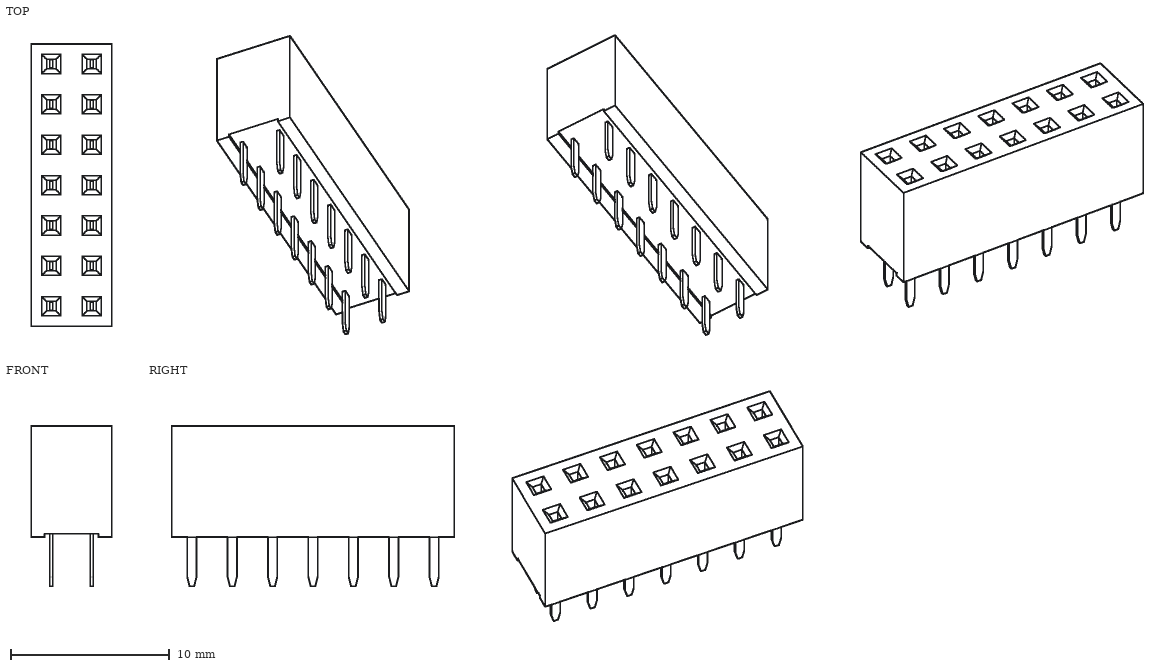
import cadquery as cq

pitch = 2.54
columns = 2
rows = 7

housing_x = columns * pitch
housing_y = rows * pitch
housing_height = 7.0

channel_width = housing_x * 2 / 3
channel_depth = 0.2

lead_in_opening = 1.2
well_size = 0.6
lead_in_depth = (lead_in_opening - well_size) / 2
socket_depth = 3.0

pin_thickness = 0.2
pin_width = 0.6
pin_reach = 3.1
tip_width = 0.3
tip_length = 0.6
well_end_gap = 0.05
pin_top_rise = 0.5

well_floor_z = housing_height - socket_depth
contact_points = [
    ((column - (columns - 1) / 2) * pitch, (row - (rows - 1) / 2) * pitch)
    for column in range(columns)
    for row in range(rows)
]


def make_housing():
    """Rectangular block with a shallow channel running the full length underneath."""
    block = cq.Workplane("XY").box(housing_x, housing_y, housing_height, centered=(True, True, False))
    channel = cq.Workplane("XY").box(channel_width, housing_y, channel_depth, centered=(True, True, False))
    return block.cut(channel)


def make_socket(x, y):
    """Volume removed for one socket: square well plus pyramidal lead-in."""
    well = (
        cq.Workplane("XY", origin=(x, y, well_floor_z))
        .rect(well_size, well_size)
        .extrude(socket_depth)
    )
    lead_in = (
        cq.Workplane("XY", origin=(x, y, housing_height - lead_in_depth))
        .rect(well_size, well_size)
        .workplane(offset=lead_in_depth)
        .rect(lead_in_opening, lead_in_opening)
        .loft(ruled=True)
    )
    return well.union(lead_in)


def make_pin(x, y):
    """Flat pin with a tapered tip and a narrower head standing up inside the well."""
    tip_z = -pin_reach
    taper_z = tip_z + tip_length
    head_z = well_floor_z + pin_top_rise
    half_pin = pin_width / 2
    half_tip = tip_width / 2
    half_head = well_size / 2 - well_end_gap
    outline = [
        (-half_tip, tip_z),
        (half_tip, tip_z),
        (half_pin, taper_z),
        (half_pin, well_floor_z),
        (half_head, well_floor_z),
        (half_head, head_z),
        (-half_head, head_z),
        (-half_head, well_floor_z),
        (-half_pin, well_floor_z),
        (-half_pin, taper_z),
    ]
    return (
        cq.Workplane("YZ", origin=(x, y, 0))
        .polyline(outline)
        .close()
        .extrude(pin_thickness / 2, both=True)
    )


result = make_housing()
for x, y in contact_points:
    result = result.cut(make_socket(x, y)).union(make_pin(x, y))